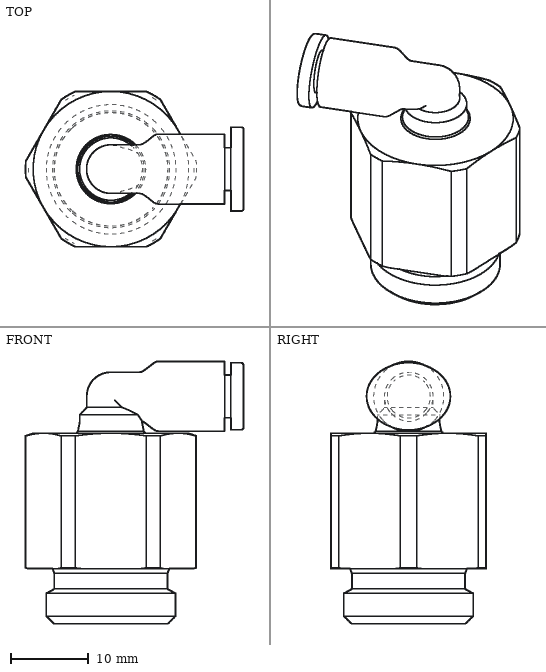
import cadquery as cq
import math

ACROSS_FLATS = 20.0
NUT_DIAMETER = 22.0
NUT_RADIUS = NUT_DIAMETER / 2
NUT_BOTTOM = 7.1
NUT_TOP = 24.55
CHAMFER_SLOPE = math.tan(math.radians(19))
TOP_CHAMFER_WIDTH = NUT_RADIUS - ACROSS_FLATS / 2
BOTTOM_CHAMFER_WIDTH = 0.35

SPIGOT_RADIUS = 8.35
SPIGOT_CHAMFER = 1.0
SPIGOT_TOP = 3.92
GROOVE_RADIUS = 7.3
GROOVE_BOTTOM = 4.5
FLARE_BOTTOM = 6.5
FLARE_RADIUS = 7.55

TOTAL_HEIGHT = 33.8
ELBOW_DIAMETER = 6.25
ELBOW_RADIUS = ELBOW_DIAMETER / 2
SOCKET_DIAMETER = 9.02
SOCKET_RADIUS = SOCKET_DIAMETER / 2
ELBOW_AXIS_Z = TOTAL_HEIGHT - SOCKET_RADIUS

STEM_RADIUS = 4.02
STEM_FLARE_RADIUS = 4.25
STEM_FOOT_RADIUS = 4.45
STEM_FOOT_TOP = 24.78
STEM_FLARE_TOP = 25.95
STEM_SHOULDER = 26.9
STEM_CONE_TOP = 27.85

CONE_START = 4.0
CONE_END = 5.8
CONE_BLEND = 1.0
EDGE_SEARCH = 0.35
SOCKET_END = 14.65
SOCKET_EDGE_FILLET = 0.1
COLLAR_START = 15.45
TOTAL_LENGTH = 28.1
COLLAR_END = TOTAL_LENGTH - NUT_RADIUS
NECK_RADIUS = 2.77
COLLAR_HALF_WIDTH = 5.4
COLLAR_HALF_HEIGHT = 4.33
COLLAR_FILLET = 0.3


def turned_about_z(outline):
    """Solid of revolution about Z from (radius, height) points, closed along the axis."""
    points = [(0, outline[0][1])] + outline + [(0, outline[-1][1])]
    return cq.Workplane("XZ").polyline(points).close().revolve(360, (0, 0), (0, 1))


def make_nut():
    hexagon_diameter = ACROSS_FLATS / math.cos(math.pi / 6)
    hexagon = (
        cq.Workplane("XY")
        .workplane(offset=NUT_BOTTOM)
        .polygon(6, hexagon_diameter)
        .extrude(NUT_TOP - NUT_BOTTOM)
    )
    trim = turned_about_z([
        (NUT_RADIUS - BOTTOM_CHAMFER_WIDTH, NUT_BOTTOM),
        (NUT_RADIUS, NUT_BOTTOM + BOTTOM_CHAMFER_WIDTH * CHAMFER_SLOPE),
        (NUT_RADIUS, NUT_TOP - TOP_CHAMFER_WIDTH * CHAMFER_SLOPE),
        (NUT_RADIUS - TOP_CHAMFER_WIDTH, NUT_TOP),
    ])
    return hexagon.intersect(trim)


def make_spigot():
    return turned_about_z([
        (SPIGOT_RADIUS - SPIGOT_CHAMFER, 0),
        (SPIGOT_RADIUS, SPIGOT_CHAMFER),
        (SPIGOT_RADIUS, SPIGOT_TOP),
        (GROOVE_RADIUS, GROOVE_BOTTOM),
        (GROOVE_RADIUS, FLARE_BOTTOM),
        (FLARE_RADIUS, NUT_BOTTOM),
    ])


def make_stem():
    return turned_about_z([
        (STEM_FOOT_RADIUS, NUT_TOP),
        (STEM_FLARE_RADIUS, STEM_FOOT_TOP),
        (STEM_RADIUS, STEM_FLARE_TOP),
        (STEM_RADIUS, STEM_SHOULDER),
        (ELBOW_RADIUS, STEM_CONE_TOP),
        (ELBOW_RADIUS, ELBOW_AXIS_Z),
    ])


def make_socket():
    """Elbow arm widening through a blended cone into the round socket, turned about X."""
    socket = (
        cq.Workplane("XZ", origin=(0, 0, ELBOW_AXIS_Z))
        .polyline([
            (0, 0),
            (0, ELBOW_RADIUS),
            (CONE_START, ELBOW_RADIUS),
            (CONE_END, SOCKET_RADIUS),
            (SOCKET_END, SOCKET_RADIUS),
            (SOCKET_END, 0),
        ])
        .close()
        .revolve(360, (0, 0), (1, 0))
    )
    for position in (CONE_START, CONE_END):
        edge = cq.selectors.BoxSelector(
            (position - EDGE_SEARCH, -TOTAL_HEIGHT, 0),
            (position + EDGE_SEARCH, TOTAL_HEIGHT, TOTAL_HEIGHT),
        )
        socket = socket.edges("%CIRCLE").edges(edge).fillet(CONE_BLEND)
    return socket.faces(">X").edges().fillet(SOCKET_EDGE_FILLET)


def make_collar():
    neck = (
        cq.Workplane("YZ", origin=(SOCKET_END, 0, ELBOW_AXIS_Z))
        .circle(NECK_RADIUS)
        .extrude(COLLAR_START - SOCKET_END)
    )
    collar = (
        cq.Workplane("YZ", origin=(COLLAR_START, 0, ELBOW_AXIS_Z))
        .ellipse(COLLAR_HALF_WIDTH, COLLAR_HALF_HEIGHT)
        .extrude(COLLAR_END - COLLAR_START)
        .faces(">X")
        .edges()
        .fillet(COLLAR_FILLET)
    )
    return neck.union(collar)


elbow_ball = cq.Workplane("XY", origin=(0, 0, ELBOW_AXIS_Z)).sphere(ELBOW_RADIUS)

result = (
    make_spigot()
    .union(make_nut())
    .union(make_stem())
    .union(elbow_ball)
    .union(make_socket())
    .union(make_collar())
)